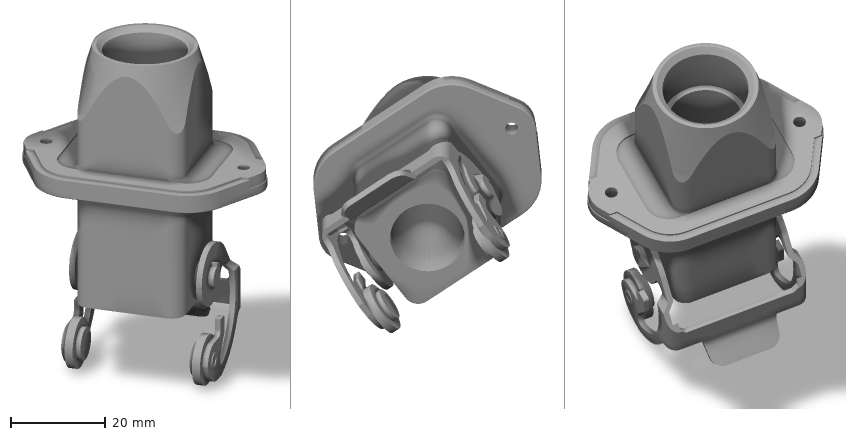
import cadquery as cq
import math


OVER = 0.75

body_width = 24.05
body_half = body_width / 2
body_corner = 3.2
body_bottom = -27.2
body_top = 30.0
nose_top_radius = 11.3
nose_flat_tangent_z = 27.5
entry_bore_diameter = 18.3
entry_bore_depth = 12.2
entry_chamfer_radius = 10.4
entry_chamfer_depth = 1.2
through_bore_diameter = 15.8
base_fillet = 1.0

flange_half_height = 17.7
flange_length = 54.0
flange_tip_radius = 6.0
flange_side_radius = 10.0
flange_side_angle = math.radians(60)
flange_tip = flange_length / 2 + flange_tip_radius * (1 / math.sin(flange_side_angle) - 1)
rim_height = 4.1
flange_height = 4.6
plateau_inset = 1.65
flange_edge_fillet = 0.3
ear_width = 10.15
ear_bottom = 2.1
ear_inset = 0.2
screw_hole_diameter = 2.7
screw_hole_x = 22.0
recess_length = 34.3
recess_corner = 5.25
recess_floor = 4.1

sheet = 1.3
pivot_z = -21.65
pivot_outer_x = 14.8
pivot_inner_x = pivot_outer_x - sheet
arm_outer_x = 16.4
arm_inner_x = arm_outer_x - sheet
joggle_top = -23.15
joggle_bottom = joggle_top - (arm_outer_x - pivot_outer_x)
joggle_y = 9.8
head_bottom = -30.1
lever_back_y = 17.2
pivot_edge_y = -6.55
lever_bend_radius = 2.55
lever_bottom = -45.2
bar_top = -29.6
bar_bottom = -34.9
bar_notch_half = 12.6
bar_notch_chamfer = 1.2

tab_tip_y = 21.65
tab_tip_z = -40.0
tab_bend_z = -35.9
tab_root_half = 8.65
tab_tip_half = 7.7
tab_corner = 3.0
tab_bend_radius = 1.8

boss_radius = 2.5
boss_flare_radius = 3.15
boss_flare_length = 0.6
pin_radius = 2.3
pin_outer_x = 16.1
pin_key_radius = 3.15
pin_key_angle = 43
pin_key_tip_y = 3.8
pin_key_tip_rise = 0.3
pin_key_heel_drop = 1.0

roller_y = -3.15
washer_radius = 5.55
roller_z = lever_bottom + washer_radius
washer_inner_x = 13.3
roller_radius = 3.6
roller_inner_x = 12.2
rivet_radius = 1.7
rivet_outer_x = 16.6
rivet_dimple_radius = 1.05


def block(x_range, y_range, z_range):
    """Box given by its limits along each axis."""
    sizes = [high - low for low, high in (x_range, y_range, z_range)]
    corner = (x_range[0], y_range[0], z_range[0])
    return cq.Workplane("XY").box(*sizes, centered=False).translate(corner)


def column(bottom, top):
    """Length of the square housing section with rounded corners."""
    return (
        cq.Workplane("XY").workplane(offset=bottom)
        .rect(body_width, body_width).extrude(top - bottom)
        .edges("|Z").fillet(body_corner)
    )


def flange_slab(inset, bottom, top):
    """Rounded hexagonal slab, drawn in by `inset` all round."""
    half_height = flange_half_height - inset
    tip = flange_tip - inset / math.sin(flange_side_angle)
    shoulder = tip - half_height / math.tan(flange_side_angle)
    outline = [
        (tip, 0), (shoulder, half_height), (-shoulder, half_height),
        (-tip, 0), (-shoulder, -half_height), (shoulder, -half_height),
    ]
    slab = cq.Workplane("XY").workplane(offset=bottom).polyline(outline).close().extrude(top - bottom)
    slab = slab.edges("|Z and (>X or <X)").fillet(flange_tip_radius - inset)
    return slab.edges("|Z and (>Y or <Y)").fillet(flange_side_radius - inset)


def recess_slab(bottom, top):
    """Rounded rectangle around the housing, as wide as the housing in Y."""
    return (
        cq.Workplane("XY").workplane(offset=bottom)
        .rect(recess_length, body_width).extrude(top - bottom)
        .edges("|Z").fillet(recess_corner)
    )


def make_flange():
    plate = flange_slab(0, 0, rim_height).faces("<Z").edges().fillet(flange_edge_fillet)
    plate = plate.union(flange_slab(plateau_inset, ear_bottom, flange_height))

    ears = block((-flange_tip, flange_tip), (-ear_width / 2, ear_width / 2), (ear_bottom, flange_height + OVER))
    plate = plate.cut(ears).union(ears.intersect(flange_slab(ear_inset, 0, flange_height)))

    plate = plate.cut(recess_slab(recess_floor, flange_height + OVER))
    holes = (
        cq.Workplane("XY").workplane(offset=-OVER)
        .pushPoints([(screw_hole_x, 0), (-screw_hole_x, 0)])
        .circle(screw_hole_diameter / 2).extrude(flange_height + 2 * OVER)
    )
    return plate.cut(holes)


def make_housing():
    nose_slope = (body_half - nose_top_radius) / (body_top - nose_flat_tangent_z)
    envelope_radius = nose_top_radius + nose_slope * (body_top - body_bottom)
    nose = (
        cq.Workplane("XZ")
        .polyline([
            (0, body_bottom), (envelope_radius, body_bottom),
            (nose_top_radius, body_top), (0, body_top),
        ])
        .close().revolve(360, (0, 0), (0, 1))
    )
    shell = column(body_bottom, body_top).intersect(nose)

    foot_span = (-recess_length, recess_length)
    foot = block(foot_span, foot_span, (ear_bottom, recess_floor))
    foot = foot.union(column(ear_bottom, recess_floor + 2 * base_fillet))
    foot = foot.edges(cq.selectors.BoxSelector(
        (-body_width, -body_width, recess_floor - base_fillet / 2),
        (body_width, body_width, recess_floor + base_fillet / 2),
    )).fillet(base_fillet)
    foot = foot.intersect(recess_slab(ear_bottom, recess_floor + base_fillet))

    collar_half = flange_half_height - plateau_inset
    collar_span = (-collar_half, collar_half)
    collar = block(collar_span, collar_span, (0, ear_bottom)).union(column(-2 * base_fillet, 0))
    around_foot = (body_half + base_fillet, body_half + base_fillet, base_fillet / 2)
    collar = collar.edges(
        cq.selectors.BoxSelector([-limit for limit in around_foot], around_foot)
    ).fillet(base_fillet)
    return shell.union(foot).union(collar)


def make_bore():
    """Stepped round passage with a chamfered entry."""
    step_z = body_top - entry_bore_depth
    return (
        cq.Workplane("XZ")
        .polyline([
            (0, body_bottom - OVER),
            (through_bore_diameter / 2, body_bottom - OVER),
            (through_bore_diameter / 2, step_z),
            (entry_bore_diameter / 2, step_z),
            (entry_bore_diameter / 2, body_top - entry_chamfer_depth),
            (entry_chamfer_radius, body_top),
            (0, body_top),
        ])
        .close().revolve(360, (0, 0), (0, 1))
    )


def lever_side_shape():
    """Side outline of the lever in (Y, Z), extruded across the whole width."""
    return (
        cq.Workplane("YZ").workplane(offset=-arm_outer_x)
        .moveTo(pivot_edge_y, pivot_z)
        .threePointArc((-4.5, -16.8), (1.1, -14.8))
        .threePointArc((5.6, -15.9), (9.2, -18.6))
        .lineTo(lever_back_y, -28.6)
        .lineTo(lever_back_y, bar_bottom)
        .lineTo(15.0, bar_bottom)
        .threePointArc((13.8, -35.3), (12.8, -36.5))
        .threePointArc((8.3, -42.0), (2.25, lever_bottom))
        .lineTo(-0.7, lever_bottom)
        .threePointArc((-5.6, -42.6), (-7.15, roller_z))
        .threePointArc((-6.0, -36.9), (roller_y, -35.7))
        .lineTo(0.4, -35.7)
        .threePointArc((1.2, -35.25), (1.5, -34.5))
        .lineTo(1.5, -32.0)
        .lineTo(3.45, -32.0)
        .threePointArc((4.0, -32.25), (4.1, -32.8))
        .lineTo(4.1, -36.1)
        .lineTo(1.6, -39.5)
        .threePointArc((1.1, -40.7), (1.35, -42.1))
        .threePointArc((1.9, -42.6), (2.6, -42.7))
        .threePointArc((9.9, -36.4), (10.15, -23.45))
        .threePointArc((8.1, -22.0), (6.25, -23.75))
        .threePointArc((-1.3, -28.1), (pivot_edge_y, pivot_z))
        .close().extrude(2 * arm_outer_x)
    )


def make_lever():
    front_y = -lever_back_y
    above_pivot = body_half + pivot_z

    band_z = (lever_bottom, joggle_bottom)
    band = block((-arm_outer_x, arm_outer_x), (front_y, lever_back_y), band_z)
    band = band.edges("|Z and >Y").fillet(lever_bend_radius)
    band = band.cut(block((-arm_inner_x, arm_inner_x), (front_y, lever_back_y - sheet), band_z))
    band = band.cut(block((-arm_outer_x, arm_outer_x), (front_y, joggle_y), (head_bottom, 0)))
    notch_top_half = bar_notch_half + bar_notch_chamfer
    chamfer_top = bar_top + bar_notch_chamfer
    notch = (
        cq.Workplane("XZ", origin=(0, joggle_y, 0))
        .polyline([
            (-bar_notch_half, bar_top), (bar_notch_half, bar_top),
            (notch_top_half, chamfer_top), (notch_top_half, joggle_bottom),
            (-notch_top_half, joggle_bottom), (-notch_top_half, chamfer_top),
        ])
        .close().extrude(-lever_back_y)
    )
    envelope = band.cut(notch)

    for side in (1, -1):
        joggle = (
            cq.Workplane("XZ", origin=(0, joggle_y, 0))
            .polyline([
                (side * pivot_inner_x, above_pivot), (side * pivot_outer_x, above_pivot),
                (side * pivot_outer_x, joggle_top), (side * arm_outer_x, joggle_bottom),
                (side * arm_inner_x, joggle_bottom), (side * pivot_inner_x, joggle_top),
            ])
            .close().extrude(joggle_y - lever_back_y)
        )
        head_x = sorted((side * pivot_inner_x, side * pivot_outer_x))
        head = block(head_x, (front_y, joggle_y), (head_bottom, above_pivot))
        envelope = envelope.union(joggle).union(head)
    return envelope.intersect(lever_side_shape())


def make_tab():
    """Thumb tab bent outward from the lower edge of the crossbar."""
    run = tab_tip_y - lever_back_y
    drop = tab_bend_z - tab_tip_z
    slope_length = math.hypot(run, drop)
    inner_tip_y = tab_tip_y - sheet * drop / slope_length
    inner_tip_z = tab_tip_z - sheet * run / slope_length
    inner_y = lever_back_y - sheet
    inner_bend_z = inner_tip_z + (inner_tip_y - inner_y) * drop / run
    strip = (
        cq.Workplane("YZ").workplane(offset=-tab_root_half)
        .polyline([
            (lever_back_y, bar_bottom), (lever_back_y, tab_bend_z), (tab_tip_y, tab_tip_z),
            (inner_tip_y, inner_tip_z), (inner_y, inner_bend_z), (inner_y, bar_bottom),
        ])
        .close().extrude(2 * tab_root_half)
    )
    bends = (
        (lever_back_y, tab_bend_z, tab_bend_radius),
        (inner_y, inner_bend_z, tab_bend_radius + sheet),
    )
    for y, z, radius in bends:
        strip = strip.edges("|X").edges(cq.selectors.NearestToPointSelector((0, y, z))).fillet(radius)
    front_shape = (
        cq.Workplane("XZ")
        .polyline([
            (-tab_root_half, bar_bottom), (tab_root_half, bar_bottom),
            (tab_tip_half, inner_tip_z), (-tab_tip_half, inner_tip_z),
        ])
        .close().extrude(-tab_tip_y)
    )
    tab = strip.intersect(front_shape)
    return tab.faces(">Y").edges("not |X").fillet(tab_corner)


def disc(y, z, radius, x_start, x_end):
    """Round disc across X."""
    return (
        cq.Workplane("YZ", origin=(x_start, y, z))
        .circle(radius).extrude(x_end - x_start)
    )


def make_pivot():
    """Boss, pin and pin key on the +X side."""
    boss = disc(0, pivot_z, boss_radius, body_half - OVER, pivot_inner_x)
    flare = (
        cq.Workplane("YZ", origin=(body_half, 0, pivot_z)).circle(boss_flare_radius)
        .workplane(offset=boss_flare_length).circle(boss_radius).loft()
    )
    pin = disc(0, pivot_z, pin_radius, pivot_inner_x, pin_outer_x)
    half_angle = math.radians(pin_key_angle / 2)
    full_angle = math.radians(pin_key_angle)
    key_edge = (pin_key_radius * math.sin(full_angle), pin_key_radius * math.cos(full_angle))
    key = (
        cq.Workplane("YZ", origin=(pivot_outer_x, 0, pivot_z))
        .lineTo(0, pin_key_radius)
        .threePointArc(
            (pin_key_radius * math.sin(half_angle), pin_key_radius * math.cos(half_angle)), key_edge
        )
        .close().extrude(pin_outer_x - pivot_outer_x)
    )
    ramp = (
        cq.Workplane("XY", origin=(0, 0, pivot_z - pin_key_radius))
        .polyline([
            (pivot_outer_x, 0), (pin_outer_x, 0),
            (pin_outer_x, key_edge[0]), (pivot_outer_x, pin_key_tip_y),
        ])
        .close().extrude(2 * pin_key_radius)
    )
    ramp_outline = (
        cq.Workplane("YZ", origin=(pivot_outer_x, 0, pivot_z))
        .polyline([(0, 0), key_edge, (pin_key_tip_y, pin_key_tip_rise), (key_edge[0], -pin_key_heel_drop)])
        .close().extrude(pin_outer_x - pivot_outer_x)
    )
    return boss.union(flare).union(pin).union(key).union(ramp.intersect(ramp_outline))


def make_roller():
    """Washer, roller and rivet head on the +X arm."""
    washer = disc(roller_y, roller_z, washer_radius, washer_inner_x, arm_inner_x)
    roller = disc(roller_y, roller_z, roller_radius, roller_inner_x, washer_inner_x)
    rivet = disc(roller_y, roller_z, rivet_radius, arm_inner_x, rivet_outer_x)
    dimple = disc(roller_y, roller_z, rivet_dimple_radius, arm_outer_x, rivet_outer_x)
    return washer.union(roller).union(rivet).cut(dimple)


side_parts = make_pivot().union(make_roller())
result = (
    make_housing()
    .union(make_flange())
    .cut(make_bore())
    .union(make_lever())
    .union(make_tab())
    .union(side_parts)
    .union(side_parts.mirror("YZ"))
)